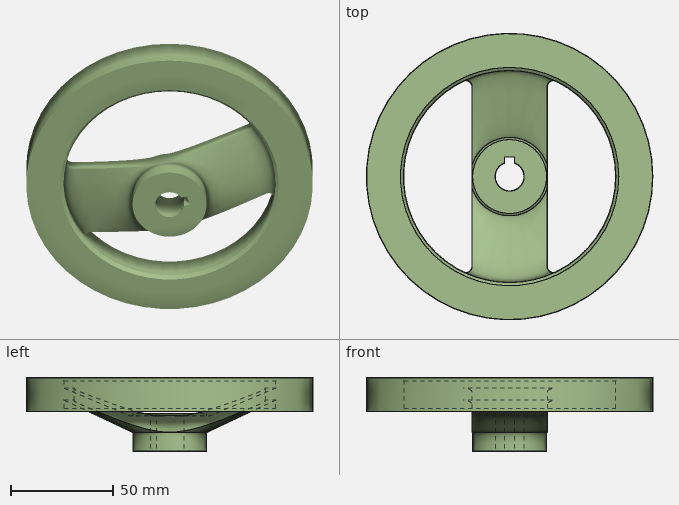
import cadquery as cq

rim_radius = 70.0
rim_inner_radius = 51.8
rim_height = 16.5
rim_chamfer = 1.5

hub_radius = 18.0
hub_bottom = -19.5
hub_top = -0.8
hub_collar_width = 1.1
hub_collar_drop = 1.4
hub_wall_height = 1.0
bore_radius = 7.0
keyway_width = 4.8
keyway_reach = 9.5

spoke_width = 36.8
spoke_corner_radius = 3.0
selection_margin = 0.1
web_under_hub = -10.2
web_level_radius = 39.9
web_underside_slope = -web_under_hub / (web_level_radius - hub_radius)
web_top_slope = 0.42


def make_rim():
    """Ring with chamfered inner edges."""
    ring = cq.Workplane("XY").circle(rim_radius).circle(rim_inner_radius).extrude(rim_height)
    return ring.edges(cq.selectors.RadiusNthSelector(0)).chamfer(rim_chamfer)


def make_dish():
    """Hub and conical web revolved together about Z."""
    collar_radius = hub_radius + hub_collar_width
    collar_bottom = hub_top - hub_collar_drop
    web_end_top = collar_bottom + web_top_slope * (rim_inner_radius - collar_radius)
    web_end_bottom = web_underside_slope * (rim_inner_radius - web_level_radius)
    profile = [
        (0, hub_bottom),
        (hub_radius, hub_bottom),
        (hub_radius, web_under_hub),
        (rim_inner_radius, web_end_bottom),
        (rim_inner_radius, web_end_top),
        (collar_radius, collar_bottom),
        (hub_radius, hub_top - hub_wall_height),
        (hub_radius, hub_top),
        (0, hub_top),
    ]
    return cq.Workplane("XZ").polyline(profile).close().revolve(360, (0, 0), (0, 1))


def make_windows():
    """Two round-cornered segments beside the spokes."""
    height = rim_height - hub_bottom
    base = cq.Workplane("XY").workplane(offset=hub_bottom)
    disc = base.circle(rim_inner_radius).extrude(height)
    strip = base.rect(spoke_width, 2 * rim_radius).extrude(height)
    windows = disc.cut(strip)
    corners = windows.edges(cq.selectors.BoxSelector(
        (-spoke_width / 2 - selection_margin, -rim_radius, hub_bottom),
        (spoke_width / 2 + selection_margin, rim_radius, rim_height),
    )).edges("|Z")
    return corners.fillet(spoke_corner_radius)


def make_bore():
    """Through bore with a keyway on the +Y side."""
    depth = hub_top - hub_bottom
    base = cq.Workplane("XY").workplane(offset=hub_bottom)
    bore = base.circle(bore_radius).extrude(depth)
    keyway = base.center(0, keyway_reach / 2).rect(keyway_width, keyway_reach).extrude(depth)
    return bore.union(keyway)


spokes_and_hub = make_dish().cut(make_windows()).cut(make_bore())
result = make_rim().union(spokes_and_hub)